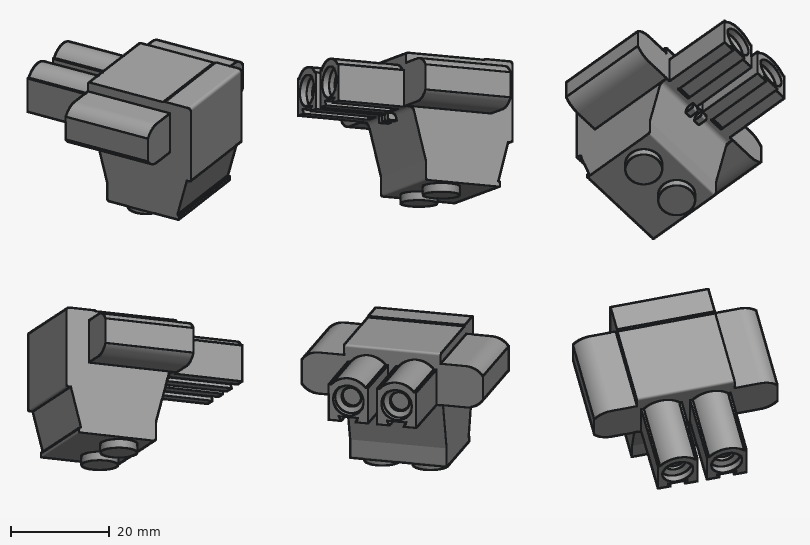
import cadquery as cq
import math


length = 38.9
height = 27.8
body_width = 20.3
face_x = 14.75
base_z = 1.8
shelf_z = 16.6
rear_step_height = 0.175
rear_step_start_x = 32.35
rear_step_end_x = 32.8
foot_front_x = 19.25
foot_rear_x = 36.1
foot_top_z = 5.85
front_slope_angle = 15.0
rear_ledge_z = 11.2
rear_slope_top_x = 37.93
rear_slope_bottom_x = 35.7
heel_slant_z = 2.9
heel_top_z = 2.72
shelf_fillet = 1.0
edge_fillet = 0.5
rear_edge_fillet = 0.7
ledge_fillet = 0.4
heel_fillet = 0.25

wing_span = 38.1
wing_end_x = 34.0
wing_bottom_z = 16.7
wing_height = 8.83
wing_center_z = wing_bottom_z + wing_height / 2
wing_round_run = 3.58

pitch = 10.15
socket_tip_width = 8.25
socket_root_width = 8.4
shoulder_z = 24.2
bore_z = 21.12
arch_radius = 4.8
mouth_radius = 3.2
mouth_depth = 1.5
bore_radius = 2.02
cone_depth = 0.65
bore_depth = 3.0
groove_top_width = 4.05
groove_bottom_width = 3.0
groove_depth = 0.97

tab_inner_y = 0.6
tab_width = 1.48
tab_bottom_z = 15.17
tab_end_x = 17.1
tab_fillet = 0.35

screw_x = 25.32
screw_radius = 3.77
screw_chamfer_height = 0.27
screw_chamfer_width = 0.08


def make_housing():
    """Side profile extruded across the width, with its long edges rounded."""
    deck_z = height - rear_step_height
    slope_run = (shelf_z - foot_top_z) * math.tan(math.radians(front_slope_angle))
    shelf_end_x = foot_front_x - slope_run
    body = (
        cq.Workplane("XZ")
        .moveTo(face_x, shelf_z)
        .lineTo(shelf_end_x, shelf_z)
        .lineTo(foot_front_x, foot_top_z)
        .lineTo(foot_front_x, base_z)
        .lineTo(foot_rear_x, base_z)
        .lineTo(foot_rear_x, heel_top_z)
        .lineTo(rear_slope_bottom_x, heel_slant_z)
        .lineTo(rear_slope_top_x, rear_ledge_z)
        .lineTo(length, rear_ledge_z)
        .lineTo(length, height)
        .lineTo(rear_step_end_x, height)
        .lineTo(rear_step_start_x, deck_z)
        .lineTo(face_x, deck_z)
        .close()
        .extrude(body_width / 2, both=True)
    )
    rounded_corners = [
        (shelf_end_x, shelf_z, shelf_fillet),
        (face_x, deck_z, edge_fillet),
        (foot_front_x, base_z, edge_fillet),
        (length, height, rear_edge_fillet),
        (length, rear_ledge_z, ledge_fillet),
        (foot_rear_x, base_z, heel_fillet),
    ]
    for x, z, radius in rounded_corners:
        corner = cq.selectors.NearestToPointSelector((x, 0, z))
        body = body.edges("|Y").edges(corner).fillet(radius)
    return body


def make_wings():
    """Bar through the housing; each tip is a disc cut off by a flat."""
    radius = wing_height / 2
    wing_length = wing_end_x - face_x
    round_y = wing_span / 2 - wing_round_run
    face = cq.Workplane("YZ", origin=(face_x, 0, wing_center_z))
    bar = face.rect(2 * round_y, wing_height).extrude(wing_length)
    tips = face.pushPoints([(-round_y, 0), (round_y, 0)]).circle(radius).extrude(wing_length)
    limit = face.rect(wing_span, wing_height).extrude(wing_length)
    return bar.union(tips).intersect(limit)


def make_socket(center_y):
    """Slightly drafted block under a round arch, reaching to the front face."""
    block = (
        cq.Workplane("XY", origin=(0, center_y, shelf_z))
        .moveTo(0, -socket_tip_width / 2)
        .lineTo(face_x, -socket_root_width / 2)
        .lineTo(face_x, socket_root_width / 2)
        .lineTo(0, socket_tip_width / 2)
        .close()
        .extrude(shoulder_z - shelf_z)
    )
    shoulder_rise = shoulder_z - bore_z
    half_chord = math.sqrt(arch_radius**2 - shoulder_rise**2)
    arch = (
        cq.Workplane("YZ", origin=(0, center_y, bore_z))
        .moveTo(-half_chord, shoulder_rise)
        .threePointArc((0, arch_radius), (half_chord, shoulder_rise))
        .close()
        .extrude(face_x)
    )
    return block.union(arch)


def make_socket_cut(center_y):
    """Stepped blind bore with a conical step, and a dovetail groove along the underside."""
    cone_end_x = mouth_depth + cone_depth
    bore = (
        cq.Workplane("XY", origin=(0, center_y, bore_z))
        .lineTo(0, mouth_radius)
        .lineTo(mouth_depth, mouth_radius)
        .lineTo(cone_end_x, bore_radius)
        .lineTo(bore_depth, bore_radius)
        .lineTo(bore_depth, 0)
        .close()
        .revolve(360, (0, 0, 0), (1, 0, 0))
    )
    groove = (
        cq.Workplane("YZ", origin=(0, center_y, shelf_z))
        .moveTo(-groove_bottom_width / 2, 0)
        .lineTo(groove_bottom_width / 2, 0)
        .lineTo(groove_top_width / 2, groove_depth)
        .lineTo(-groove_top_width / 2, groove_depth)
        .close()
        .extrude(face_x)
    )
    return bore.union(groove)


def make_tab(side):
    """Small hook below the front face, running back into the sloped wall."""
    center_y = side * (tab_inner_y + tab_width / 2)
    tab = cq.Workplane("XY").box(
        tab_end_x - face_x, tab_width, shelf_z - tab_bottom_z, centered=(False, True, False)
    )
    tab = tab.edges("<X and <Z").fillet(tab_fillet)
    return tab.translate((face_x, center_y, tab_bottom_z))


def make_screw(center_y):
    """Round screw head standing out of the underside."""
    head = cq.Workplane("XY").circle(screw_radius).extrude(base_z)
    head = head.faces("<Z").chamfer(screw_chamfer_height, screw_chamfer_width)
    return head.translate((screw_x, center_y, 0))


result = make_housing().union(make_wings())
for side in (-1, 1):
    row_y = side * pitch / 2
    result = result.union(make_socket(row_y)).cut(make_socket_cut(row_y))
    result = result.union(make_tab(side)).union(make_screw(row_y))